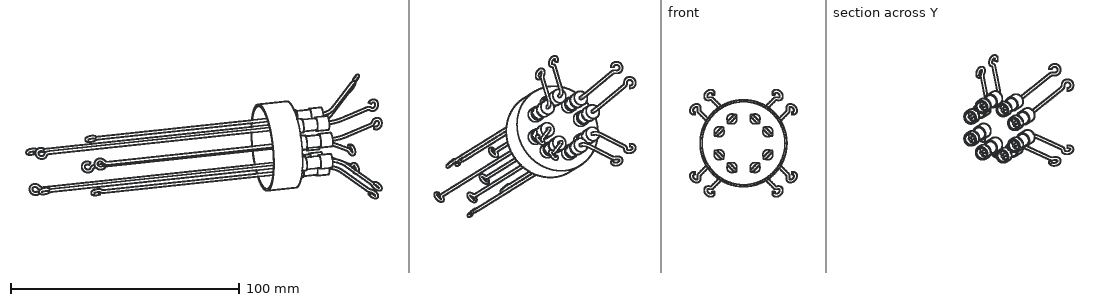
import cadquery as cq
import math

disc_diameter = 38.2
disc_depth = 13.0
rim_wall = 0.9
floor_thickness = 2.5

pair_count = 4
pin_near = 5.05
pin_far = 10.65
barrel_radius = 3.1
waist_radius = 2.65
base_length = 3.6
waist_length = 6.3
head_length = 5.3
bore_radius = 2.2
bore_depth = floor_thickness + base_length

wire_radius = 0.7
long_reach = 104.6
short_reach = 79.3
tail_reach = 48.17
bend_angle = 45
bend_radius = 8.5
hook_radius = 1.95
neck_radius = 2.0
lead_ring_offset = 0.0
tail_ring_offset = 0.45
hook_gap_angle = 47

barrel_end = disc_depth + base_length + waist_length + head_length

rear = cq.Vector(0, 1, 0)
front = cq.Vector(0, -1, 0)
outward = cq.Vector(1, 0, 1).normalized()
pairward = cq.Vector(1, 0, -1).normalized()
pin = cq.Vector(pin_near, 0, pin_far)


def header_disc():
    cup = cq.Workplane("XZ").circle(disc_diameter / 2).extrude(-disc_depth)
    cavity = cq.Workplane("XZ").circle(disc_diameter / 2 - rim_wall).extrude(floor_thickness - disc_depth)
    return cup.cut(cavity)


def cylinder(radius, start, length):
    """Cylinder on the pin axis, running rearwards from Y = start."""
    return cq.Workplane(cq.Solid.makeCylinder(radius, length, pin + rear * start, rear))


def barrel():
    waist_start = disc_depth + base_length
    head_start = waist_start + waist_length
    base = cylinder(barrel_radius, disc_depth, base_length)
    waist = cylinder(waist_radius, waist_start, waist_length)
    head = cylinder(barrel_radius, head_start, head_length)
    return base.union(waist).union(head)


def bore():
    return cylinder(bore_radius, disc_depth - floor_thickness, bore_depth)


def hook_length(ring_offset):
    """Distance along the wire from the start of the neck to the ring centre."""
    return math.sqrt((neck_radius + hook_radius) ** 2 - (neck_radius + ring_offset) ** 2)


def hook_edges(start, along, ring_offset):
    """Neck curving towards the pair partner, then an open ring offset away from it."""
    length = hook_length(ring_offset)
    neck_center = start + pairward * neck_radius
    ring_center = start + along * length - pairward * ring_offset
    neck_angle = math.atan2(neck_radius + ring_offset, length)

    def on_neck(angle):
        offset = along * math.sin(angle) - pairward * math.cos(angle)
        return neck_center + offset * neck_radius

    def on_ring(angle):
        offset = pairward * math.sin(angle) - along * math.cos(angle)
        return ring_center + offset * hook_radius

    neck_turn = math.pi / 2 - neck_angle
    ring_end = 2 * math.pi - math.radians(hook_gap_angle)
    ring_middle = (neck_angle + ring_end) / 2
    neck = cq.Edge.makeThreePointArc(start, on_neck(neck_turn / 2), on_neck(neck_turn))
    ring = cq.Edge.makeThreePointArc(on_ring(neck_angle), on_ring(ring_middle), on_ring(ring_end))
    return [neck, ring]


def swept_wire(start, direction, edges):
    path = cq.Wire.assembleEdges(edges)
    profile = cq.Workplane(cq.Plane(start, pairward, direction)).circle(wire_radius)
    return profile.sweep(cq.Workplane(path))


def lead(reach):
    """Straight wire from the barrel end forwards, hooked at its tip."""
    start = pin + rear * barrel_end
    hook_start = pin + front * (reach - wire_radius - hook_radius - hook_length(lead_ring_offset))
    edges = [cq.Edge.makeLine(start, hook_start)] + hook_edges(hook_start, front, lead_ring_offset)
    return swept_wire(start, front, edges)


def tail():
    """Wire leaving the barrel rearwards, bent outwards along the diagonal and hooked."""
    angle = math.radians(bend_angle)
    bent = rear * math.cos(angle) + outward * math.sin(angle)
    start = pin + rear * (barrel_end - head_length)
    bend_start = pin + rear * barrel_end
    bend_center = bend_start + outward * bend_radius

    def on_bend(turn):
        return bend_center + (rear * math.sin(turn) - outward * math.cos(turn)) * bend_radius

    bend_end = on_bend(angle)
    ring_center_y = tail_reach - wire_radius - hook_radius * math.cos(angle)
    slope_length = (ring_center_y - bend_end.y) / math.cos(angle) - hook_length(tail_ring_offset)
    hook_start = bend_end + bent * slope_length
    edges = [
        cq.Edge.makeLine(start, bend_start),
        cq.Edge.makeThreePointArc(bend_start, on_bend(angle / 2), bend_end),
        cq.Edge.makeLine(bend_end, hook_start),
    ]
    return swept_wire(start, rear, edges + hook_edges(hook_start, bent, tail_ring_offset))


def around_disc(shape):
    """Copies of one pin's shape at the same place in each of the four pairs."""
    return [shape.rotate((0, 0, 0), rear.toTuple(), pair * 360 / pair_count) for pair in range(pair_count)]


def build():
    barrel_shape = barrel()
    bore_shape = bore()
    tail_shape = tail()
    long_pin = lead(long_reach).union(tail_shape)
    short_pin = lead(short_reach).union(tail_shape).mirror("YZ")
    part = header_disc()
    for shape in around_disc(barrel_shape) + around_disc(barrel_shape.mirror("YZ")):
        part = part.union(shape)
    for shape in around_disc(bore_shape) + around_disc(bore_shape.mirror("YZ")):
        part = part.cut(shape)
    for shape in around_disc(long_pin) + around_disc(short_pin):
        part = part.union(shape)
    return part


result = build()